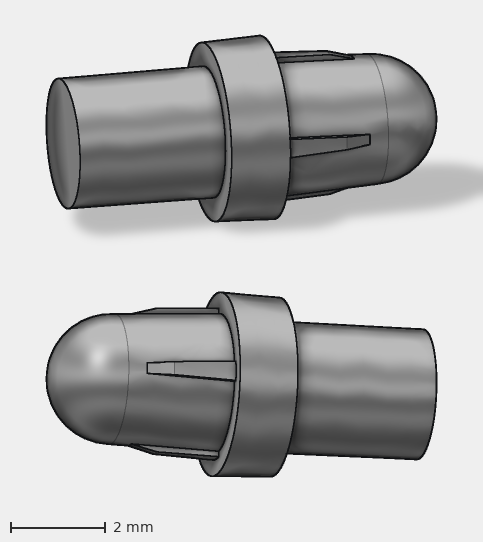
import cadquery as cq
import math

total_length = 8.11
pin_length = 3.17
collar_thickness = 1.27
collar_top = pin_length + collar_thickness

pin_end_radius = 1.38
pin_root_radius = 1.395
collar_bottom_radius = 1.9
collar_top_radius = 1.95
body_root_radius = 1.49
dome_radius = 1.38
dome_base = total_length - dome_radius

rib_count = 4
rib_root_width = 0.41
rib_tip_width = 0.23
rib_root_radius = 1.605
rib_knee_radius = 1.55
rib_tip_radius = 1.4
rib_knee_y = 5.78
rib_tip_y = 6.325
rib_inner_radius = 1.135


def make_turned_body():
    """Pin, collar, tapered body and hemispherical dome, turned about Y."""
    dome_mid = dome_radius * math.sqrt(0.5)
    return (
        cq.Workplane("XY")
        .lineTo(pin_end_radius, 0)
        .lineTo(pin_root_radius, pin_length)
        .lineTo(collar_bottom_radius, pin_length)
        .lineTo(collar_top_radius, collar_top)
        .lineTo(body_root_radius, collar_top)
        .lineTo(dome_radius, dome_base)
        .threePointArc((dome_mid, dome_base + dome_mid), (0, total_length))
        .close()
        .revolve(360, (0, 0, 0), (0, 1, 0))
    )


def make_rib():
    """Rib on the +X side: a turned ring cut down to the tapered width."""
    ring = (
        cq.Workplane("XY")
        .moveTo(rib_inner_radius, collar_top)
        .lineTo(rib_root_radius, collar_top)
        .lineTo(rib_knee_radius, rib_knee_y)
        .lineTo(rib_tip_radius, rib_tip_y)
        .lineTo(rib_inner_radius, rib_tip_y)
        .close()
        .revolve(360, (0, 0, 0), (0, 1, 0))
    )
    width_profile = (
        cq.Workplane("YZ")
        .moveTo(collar_top, -rib_root_width / 2)
        .lineTo(rib_tip_y, -rib_tip_width / 2)
        .lineTo(rib_tip_y, rib_tip_width / 2)
        .lineTo(collar_top, rib_root_width / 2)
        .close()
        .extrude(rib_root_radius)
    )
    return ring.intersect(width_profile)


result = make_turned_body()
rib = make_rib()
for index in range(rib_count):
    angle = index * 360 / rib_count
    result = result.union(rib.rotate((0, 0, 0), (0, 1, 0), angle))